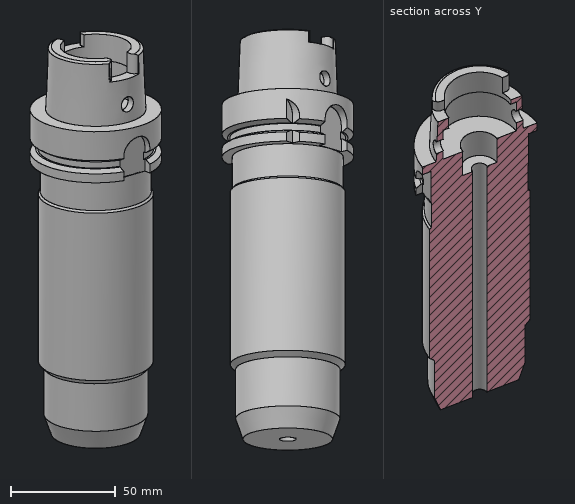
import cadquery as cq
import math

total_length = 197.0
shank_length = 32.0
flange_thickness = 26.0
flange_top = total_length - shank_length
flange_bottom = flange_top - flange_thickness

nose_tip_radius = 21.5
nose_radius = 25.0
nose_taper_height = 10.0
body_bottom = 34.3
body_radius = 27.5
body_bottom_chamfer = body_radius - nose_radius
body_top = 123.1
neck_radius = 26.5
body_top_chamfer = body_radius - neck_radius

flange_radius = 31.5
groove_radius = 27.8
groove_center = flange_top - 18.1
groove_floor_half = 1.8
groove_flank_angle = 30.0
groove_mouth_half = 3.3
groove_flank_depth = (groove_mouth_half - groove_floor_half) / math.tan(math.radians(groove_flank_angle))
groove_shoulder_radius = flange_radius - groove_flank_depth

shank_base_radius = 24.0
shank_top_radius = 22.9
shank_edge_width = 1.5
shank_edge_height = 0.8

mouth_radius = 17.0
mouth_depth = 13.2
recess_radius = 19.9
recess_depth = shank_length
counterbore_radius = 9.3
counterbore_depth = 15.8
through_radius = 4.0

notch_width = 12.2
notch_edge_radius = 3.0
notch_edge_start = 17.7
left_notch_depth = 6.1
right_notch_depth = 10.0

cross_hole_radius = 3.7
cross_hole_depth = 22.9

key_slot_end_height = flange_top - 5.3
key_slot_radius = 8.0
key_slot_floor = 26.8
side_pocket_radius = 9.5
side_pocket_wall = 19.9
side_pocket_floor = 20.0
side_pocket_end_height = flange_top - 3.7


def revolved(points):
    """Turn a closed (radius, height) outline about the Z axis."""
    return cq.Workplane("XZ").polyline(points).close().revolve(360, (0, 0, 0), (0, 1, 0))


def outer_body():
    return revolved([
        (0, 0),
        (nose_tip_radius, 0),
        (nose_radius, nose_taper_height),
        (nose_radius, body_bottom),
        (body_radius, body_bottom + body_bottom_chamfer),
        (body_radius, body_top - body_top_chamfer),
        (neck_radius, body_top),
        (neck_radius, flange_bottom),
        (flange_radius, flange_bottom),
        (flange_radius, groove_center - groove_mouth_half),
        (groove_shoulder_radius, groove_center - groove_floor_half),
        (groove_radius, groove_center - groove_floor_half),
        (groove_radius, groove_center + groove_floor_half),
        (groove_shoulder_radius, groove_center + groove_floor_half),
        (flange_radius, groove_center + groove_mouth_half),
        (flange_radius, flange_top),
        (shank_base_radius, flange_top),
        (shank_top_radius, total_length - shank_edge_height),
        (shank_top_radius - shank_edge_width, total_length),
        (0, total_length),
    ])


def axial_bores():
    mouth_bottom = total_length - mouth_depth
    recess_floor = total_length - recess_depth
    counterbore_floor = recess_floor - counterbore_depth
    return revolved([
        (0, 0),
        (through_radius, 0),
        (through_radius, counterbore_floor),
        (counterbore_radius, counterbore_floor),
        (counterbore_radius, recess_floor),
        (recess_radius, recess_floor),
        (recess_radius, mouth_bottom),
        (mouth_radius, mouth_bottom),
        (mouth_radius, total_length),
        (0, total_length),
    ])


def drive_notch(side, depth):
    """Notch through the shank wall at side * X, flaring outward with rounded edges."""
    half = notch_width / 2
    bend = notch_edge_radius * math.sqrt(0.5)
    arc_end = notch_edge_start + notch_edge_radius
    arc_mid = notch_edge_start + bend
    flare = half + notch_edge_radius
    mid_half = flare - bend
    return (
        cq.Workplane("XY", origin=(0, 0, total_length - depth))
        .moveTo(0, -half)
        .lineTo(side * notch_edge_start, -half)
        .threePointArc((side * arc_mid, -mid_half), (side * arc_end, -flare))
        .lineTo(side * flange_radius, -flare)
        .lineTo(side * flange_radius, flare)
        .lineTo(side * arc_end, flare)
        .threePointArc((side * arc_mid, mid_half), (side * notch_edge_start, half))
        .lineTo(0, half)
        .close()
        .extrude(depth)
    )


def cross_hole():
    return (
        cq.Workplane("YZ")
        .center(0, total_length - cross_hole_depth)
        .circle(cross_hole_radius)
        .extrude(flange_radius, both=True)
    )


def round_ended_slot(side, center_y, radius, floor, end_height):
    """Slot with a round upper end, cut along X from a flat floor, open at the flange bottom."""
    arc_center = end_height - radius
    return (
        cq.Workplane("YZ", origin=(side * floor, 0, 0))
        .moveTo(center_y - radius, flange_bottom)
        .lineTo(center_y - radius, arc_center)
        .threePointArc((center_y, end_height), (center_y + radius, arc_center))
        .lineTo(center_y + radius, flange_bottom)
        .close()
        .extrude(side * flange_radius)
    )


def key_slot(side):
    return round_ended_slot(side, 0, key_slot_radius, key_slot_floor, key_slot_end_height)


def side_pocket():
    center_y = side_pocket_wall + side_pocket_radius
    return round_ended_slot(-1, center_y, side_pocket_radius, side_pocket_floor, side_pocket_end_height)


result = outer_body().cut(axial_bores()).cut(cross_hole())
for side, notch_depth in ((-1, left_notch_depth), (1, right_notch_depth)):
    result = result.cut(drive_notch(side, notch_depth)).cut(key_slot(side))
result = result.cut(side_pocket())